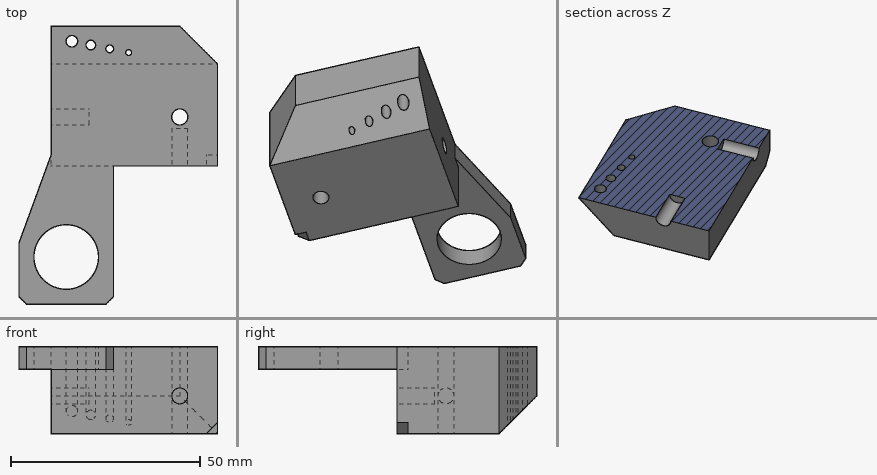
import cadquery as cq

LENGTH_X = 52.5
LENGTH_Y = 73.5
HEIGHT = 23.0

BLOCK_X = 44.0
BLOCK_Y = 37.0
BLOCK_LEFT = LENGTH_X - BLOCK_X
BLOCK_FRONT = LENGTH_Y - BLOCK_Y
BLOCK_CHAMFER = 10.0

NOTCH_LEG = 3.0
NOTCH_DEPTH = 3.0

ARM_WIDTH = 25.0
ARM_THICKNESS = 6.0
ARM_CHAMFER = 2.0
TAPER_START_Y = 16.25
TAPER_END_Y = 39.5
ARM_HOLE_DIAMETER = 17.0
ARM_HOLE_CENTER = (ARM_WIDTH / 2, ARM_WIDTH / 2)

CROSS_DIAMETER = 4.2
CROSS_X = LENGTH_X - BLOCK_CHAMFER
CROSS_SETBACK = 13.0
CROSS_Y = BLOCK_FRONT + CROSS_SETBACK
CROSS_Z = 10.0
CROSS_BLIND_DEPTH = 10.0

ROW_DIAMETERS = (3.0, 2.5, 2.0, 1.5)
ROW_START_X = 14.0
ROW_START_Y = 69.5
ROW_STEP_X = 5.0
ROW_STEP_Y = -1.0


def make_block():
    """Box with its back right edge and its back bottom edge chamfered."""
    block = cq.Workplane("XY").box(BLOCK_X, BLOCK_Y, HEIGHT, centered=False)
    block = block.edges("|Z and >X and >Y").chamfer(BLOCK_CHAMFER)
    block = block.translate((BLOCK_LEFT, BLOCK_FRONT, 0))

    bevel = (
        cq.Workplane("YZ", origin=(BLOCK_LEFT, LENGTH_Y, 0))
        .polyline([(0, 0), (-BLOCK_CHAMFER, 0), (0, BLOCK_CHAMFER)])
        .close()
        .extrude(BLOCK_X)
    )
    return block.cut(bevel)


def make_corner_notch():
    """Triangular prism that bevels the right bottom edge over a short length from the front."""
    return (
        cq.Workplane("XZ", origin=(LENGTH_X, BLOCK_FRONT, 0))
        .polyline([(0, 0), (-NOTCH_LEG, 0), (0, NOTCH_LEG)])
        .close()
        .extrude(-NOTCH_DEPTH)
    )


def make_arm():
    """Plate with a tapered left side and chamfered front corners."""
    outline = [
        (ARM_CHAMFER, 0),
        (ARM_WIDTH - ARM_CHAMFER, 0),
        (ARM_WIDTH, ARM_CHAMFER),
        (ARM_WIDTH, TAPER_END_Y),
        (BLOCK_LEFT, TAPER_END_Y),
        (0, TAPER_START_Y),
        (0, ARM_CHAMFER),
    ]
    return (
        cq.Workplane("XY", origin=(0, 0, HEIGHT - ARM_THICKNESS))
        .polyline(outline)
        .close()
        .extrude(ARM_THICKNESS)
    )


def make_hole(diameter, start, direction, depth):
    """Cylinder to be removed, from a start point along a direction."""
    return cq.Workplane(
        cq.Solid.makeCylinder(diameter / 2, depth, cq.Vector(*start), cq.Vector(*direction))
    )


def make_vertical_hole(diameter, x, y):
    """Hole through the full height of the part."""
    return make_hole(diameter, (x, y, 0), (0, 0, 1), HEIGHT)


result = make_block().cut(make_corner_notch()).union(make_arm())

result = result.cut(make_vertical_hole(ARM_HOLE_DIAMETER, *ARM_HOLE_CENTER))

for index, diameter in enumerate(ROW_DIAMETERS):
    hole_x = ROW_START_X + index * ROW_STEP_X
    hole_y = ROW_START_Y + index * ROW_STEP_Y
    result = result.cut(make_vertical_hole(diameter, hole_x, hole_y))

result = result.cut(make_vertical_hole(CROSS_DIAMETER, CROSS_X, CROSS_Y))
result = result.cut(
    make_hole(CROSS_DIAMETER, (BLOCK_LEFT, CROSS_Y, CROSS_Z), (1, 0, 0), CROSS_BLIND_DEPTH)
)
result = result.cut(
    make_hole(CROSS_DIAMETER, (CROSS_X, BLOCK_FRONT, CROSS_Z), (0, 1, 0), CROSS_BLIND_DEPTH)
)